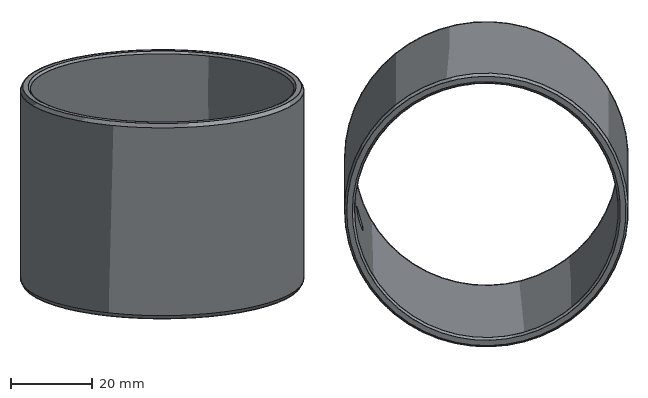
import cadquery as cq

outer_diameter = 70.0
bore_diameter = 65.0
height = 50.0

outer_chamfer_height = 1.0
outer_chamfer_width = 0.55
bore_chamfer = 0.55

hole_diameter = 6.0

outer_radius = outer_diameter / 2
bore_radius = bore_diameter / 2
half_height = height / 2


def make_sleeve():
    """Revolve the chamfered wall section about the Z axis."""
    wall_section = [
        (bore_radius, -half_height + bore_chamfer),
        (bore_radius + bore_chamfer, -half_height),
        (outer_radius - outer_chamfer_width, -half_height),
        (outer_radius, -half_height + outer_chamfer_height),
        (outer_radius, half_height - outer_chamfer_height),
        (outer_radius - outer_chamfer_width, half_height),
        (bore_radius + bore_chamfer, half_height),
        (bore_radius, half_height - bore_chamfer),
    ]
    section = cq.Workplane("XZ").polyline(wall_section).close()
    return section.revolve(360, (0, 0, 0), (0, 1, 0))


def make_hole_cutter():
    """Cylinder from the axis out through the +Y wall."""
    return cq.Workplane("XZ").circle(hole_diameter / 2).extrude(-outer_diameter)


result = make_sleeve().cut(make_hole_cutter())